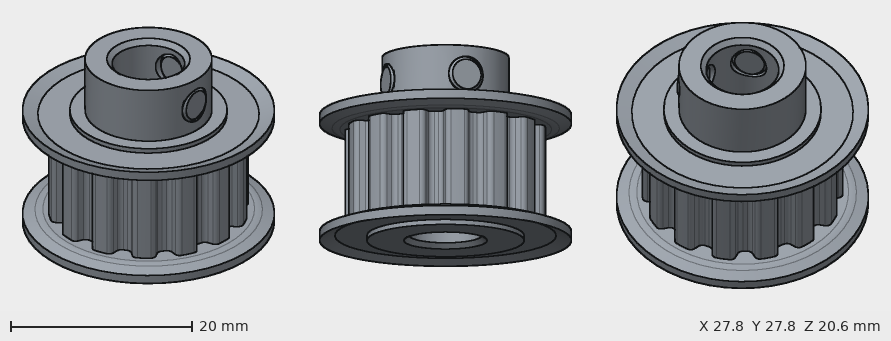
import cadquery as cq
import math

overall_height = 20.6
pulley_height = 14.15
hub_radius = 7.0
bore_radius = 4.0
bore_chamfer = 0.58

flange_radius = 13.9
flange_height = 1.6
rim_height = 1.03
dish_depth = 0.55
dish_floor_radius = 12.2
collar_radius = 8.67
flange_bend_radius = 2.78

tooth_count = 14
tip_radius = 11.06
groove_depth = 1.45
groove_bottom_width = 1.3
groove_flank_angle = 24.0
root_fillet = 0.65
tip_fillet = 0.6
corner_tolerance = 0.003

screw_radius = 2.0
screw_length = 3.0
screw_chamfer = 0.33
screw_directions = [(1, 0, 0), (0, 1, 0)]

tooth_length = pulley_height - 2 * flange_height
tooth_pitch_angle = 360.0 / tooth_count
root_distance = tip_radius - groove_depth
screw_height = (pulley_height + overall_height) / 2
flange_slope = dish_depth / (flange_radius - dish_floor_radius)
flange_face_radius = flange_radius - (flange_height - rim_height) / flange_slope


def make_flange():
    """Lower flange: a bent disc, dished on its outer side around a flat collar."""
    profile = (
        cq.Workplane("XZ")
        .polyline([
            (0, 0),
            (collar_radius, 0),
            (collar_radius, dish_depth),
            (dish_floor_radius, dish_depth),
            (flange_radius, 0),
            (flange_radius, rim_height),
            (flange_face_radius, flange_height),
            (0, flange_height),
        ])
        .close()
    )
    flange = profile.revolve(360, (0, 0, 0), (0, 1, 0))
    return flange.faces(">Z").edges().fillet(flange_bend_radius)


def polar_point(radius, angle):
    """Point at a radius and an angle in degrees from +X."""
    turn = math.radians(angle)
    return (radius * math.cos(turn), radius * math.sin(turn))


def axis_distance(edge):
    """Distance of an upright edge from the pulley axis."""
    center = edge.Center()
    return math.hypot(center.x, center.y)


def is_groove_corner(edge):
    return axis_distance(edge) < (root_distance + tip_radius) / 2


def is_tip_corner(edge):
    return axis_distance(edge) > tip_radius - corner_tolerance


def make_tooth_ring():
    """Toothed section between the flanges, with one tooth centred on +X."""
    flank = math.radians(groove_flank_angle)
    half_bottom = groove_bottom_width / 2
    root_angle = math.degrees(math.atan2(half_bottom, root_distance))
    root_corner_radius = math.hypot(half_bottom, root_distance)
    line_offset = half_bottom * math.cos(flank) - root_distance * math.sin(flank)
    mouth_angle = groove_flank_angle + math.degrees(math.asin(line_offset / tip_radius))
    land_angle = tooth_pitch_angle / 2 - mouth_angle

    outline = cq.Workplane("XY").workplane(offset=flange_height)
    outline = outline.moveTo(*polar_point(tip_radius, -land_angle))
    for tooth in range(tooth_count):
        tooth_angle = tooth * tooth_pitch_angle
        groove_angle = tooth_angle + tooth_pitch_angle / 2
        next_tooth_angle = tooth_angle + tooth_pitch_angle
        outline = outline.threePointArc(
            polar_point(tip_radius, tooth_angle),
            polar_point(tip_radius, tooth_angle + land_angle),
        )
        outline = outline.lineTo(*polar_point(root_corner_radius, groove_angle - root_angle))
        outline = outline.lineTo(*polar_point(root_corner_radius, groove_angle + root_angle))
        outline = outline.lineTo(*polar_point(tip_radius, next_tooth_angle - land_angle))
    ring = outline.close().extrude(tooth_length)

    ring = ring.edges("|Z").filter(is_groove_corner).fillet(root_fillet)
    return ring.edges("|Z").filter(is_tip_corner).fillet(tip_fillet)


def screw_cylinder(direction, start, length):
    """Radial cylinder of the set screw's size, starting at a distance from the axis."""
    plane = cq.Plane(origin=(0, 0, screw_height), xDir=(0, 0, 1), normal=direction)
    return cq.Workplane(plane).workplane(offset=start).circle(screw_radius).extrude(length)


def make_bore():
    """Solid of the through bore, widening to a chamfer at both ends."""
    mouth_radius = bore_radius + bore_chamfer
    profile = (
        cq.Workplane("XZ")
        .polyline([
            (0, 0),
            (mouth_radius, 0),
            (bore_radius, bore_chamfer),
            (bore_radius, overall_height - bore_chamfer),
            (mouth_radius, overall_height),
            (0, overall_height),
        ])
        .close()
    )
    return profile.revolve(360, (0, 0, 0), (0, 1, 0))


lower_flange = make_flange()
upper_flange = lower_flange.mirror("XY").translate((0, 0, pulley_height))
body = make_tooth_ring().union(lower_flange).union(upper_flange)

hub = cq.Workplane("XY").workplane(offset=pulley_height).circle(hub_radius)
body = body.union(hub.extrude(overall_height - pulley_height))

body = body.cut(make_bore())

for direction in screw_directions:
    hole = screw_cylinder(direction, 0, 2 * hub_radius)
    screw = screw_cylinder(direction, hub_radius - screw_length, screw_length)
    body = body.cut(hole).union(screw.edges().chamfer(screw_chamfer))

result = body